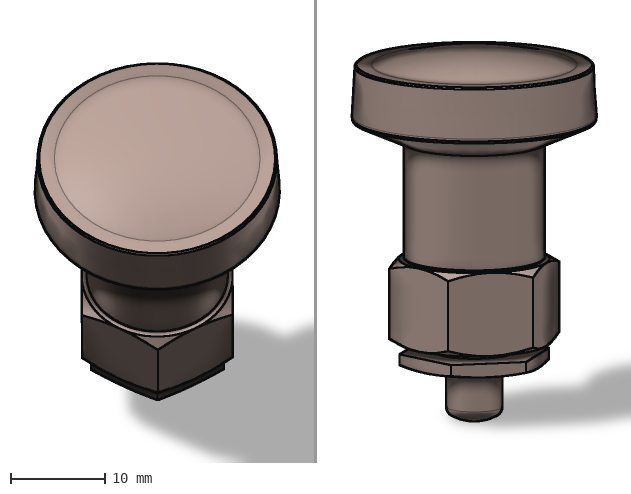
import cadquery as cq
import math

knob_diameter = 26.0
knob_top_diameter = 25.4
knob_edge = 0.2
dome_diameter = 21.8
total_height = 40.0
dome_base_z = 38.5
band_base_z = 33.0
rim_base_z = 32.5
rim_inset = 0.1

sleeve_diameter = 15.0
sleeve_top_z = 30.1
sleeve_bevel = 0.2
neck_diameter = 8.5
pin_diameter = 6.0
tip_sphere_radius = 5.0
tip_fillet = 1.0

body_flats = 16.0
body_base_z = 8.5
body_height = 9.0
body_chamfer_angle = 30.0
nut_flats = 14.1
nut_base_z = 6.0
nut_height = 1.5
nut_chamfer_diameter = 13.7
nut_chamfer_angle = 15.0


def cylinder(diameter, bottom, top):
    return cq.Workplane("XY").workplane(offset=bottom).circle(diameter / 2).extrude(top - bottom)


def hexagon(flats, bottom, height, chamfer_diameter, angle, chamfer_top):
    """Hexagonal prism whose lower (and optionally upper) corners are cut by a cone."""
    corner = flats / math.sqrt(3)
    inner = chamfer_diameter / 2
    rise = (corner - inner) * math.tan(math.radians(angle))
    top = bottom + height
    prism = cq.Workplane("XY").workplane(offset=bottom).polygon(6, 2 * corner).extrude(height)
    envelope = cq.Workplane("XZ").moveTo(0, bottom).lineTo(inner, bottom).lineTo(corner, bottom + rise)
    if chamfer_top:
        envelope = envelope.lineTo(corner, top - rise).lineTo(inner, top)
    else:
        envelope = envelope.lineTo(corner, top)
    cone = envelope.lineTo(0, top).close().revolve(360, (0, 0, 0), (0, 1, 0))
    return prism.intersect(cone)


def domed_knob():
    dome_radius = dome_diameter / 2
    dome_rise = total_height - dome_base_z
    sphere_radius = (dome_radius**2 + dome_rise**2) / (2 * dome_rise)
    half_angle = math.asin(dome_radius / sphere_radius) / 2
    arc_middle = (
        sphere_radius * math.sin(half_angle),
        total_height - sphere_radius * (1 - math.cos(half_angle)),
    )
    top_radius = knob_top_diameter / 2
    rim_radius = knob_diameter / 2
    rim_middle_z = (band_base_z + rim_base_z) / 2
    return (
        cq.Workplane("XZ")
        .moveTo(0, sleeve_top_z)
        .lineTo(sleeve_diameter / 2, sleeve_top_z)
        .lineTo(rim_radius - rim_inset, rim_base_z)
        .lineTo(rim_radius, rim_middle_z)
        .lineTo(rim_radius, band_base_z)
        .lineTo(top_radius, dome_base_z - knob_edge)
        .lineTo(top_radius - knob_edge, dome_base_z)
        .lineTo(dome_radius, dome_base_z)
        .threePointArc(arc_middle, (0, total_height))
        .close()
        .revolve(360, (0, 0, 0), (0, 1, 0))
    )


def plunger_pin():
    """Pin with a spherical end cap, blended tangentially into its side by a fillet arc."""
    pin_radius = pin_diameter / 2
    fillet_center_x = pin_radius - tip_fillet
    cap_half_angle = math.asin(fillet_center_x / (tip_sphere_radius - tip_fillet))
    fillet_center_z = tip_sphere_radius - (tip_sphere_radius - tip_fillet) * math.cos(cap_half_angle)

    def cap_point(angle):
        return (tip_sphere_radius * math.sin(angle), tip_sphere_radius * (1 - math.cos(angle)))

    return (
        cq.Workplane("XZ")
        .moveTo(0, nut_base_z)
        .lineTo(pin_radius, nut_base_z)
        .lineTo(pin_radius, fillet_center_z)
        .tangentArcPoint(cap_point(cap_half_angle), relative=False)
        .threePointArc(cap_point(cap_half_angle / 2), (0, 0))
        .close()
        .revolve(360, (0, 0, 0), (0, 1, 0))
    )


body_top_z = body_base_z + body_height
sleeve = cylinder(sleeve_diameter, body_top_z, sleeve_top_z).faces("<Z").chamfer(sleeve_bevel)
neck = cylinder(neck_diameter, nut_base_z, body_base_z)
body = hexagon(body_flats, body_base_z, body_height, body_flats, body_chamfer_angle, True)
nut = hexagon(nut_flats, nut_base_z, nut_height, nut_chamfer_diameter, nut_chamfer_angle, False)

result = domed_knob().union(sleeve).union(body).union(neck).union(nut).union(plunger_pin())